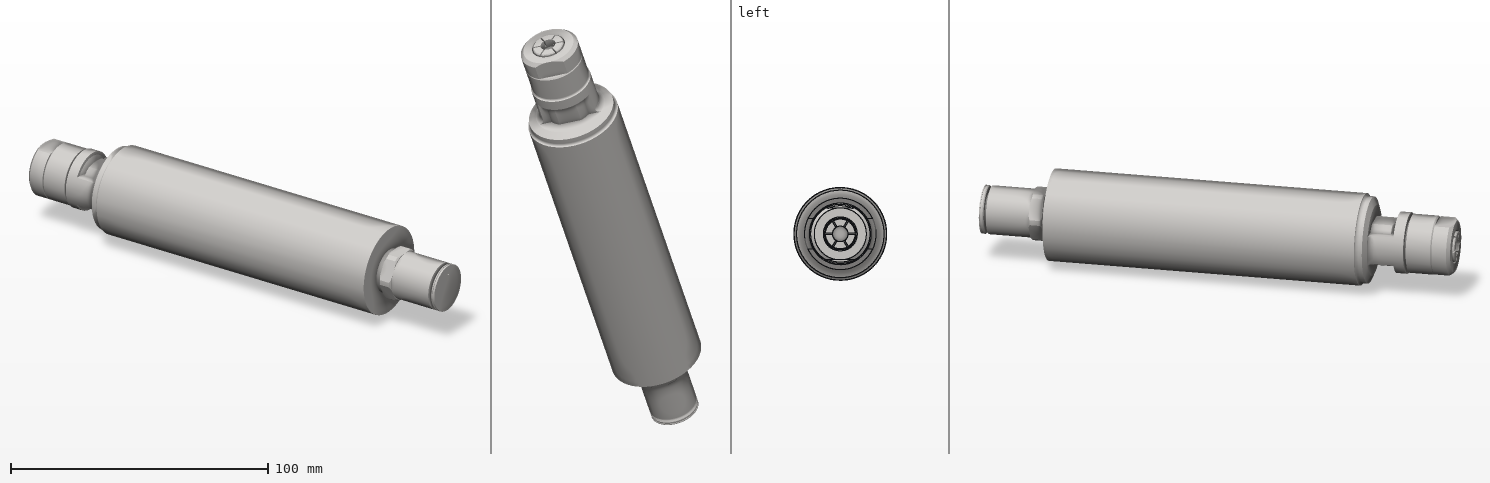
import cadquery as cq
import math

length = 189.0

collet_d = 12.3
collet_chamfer = 0.4
collet_hole_d = 6.0
collet_hole_depth = 7.5
collet_slot_count = 6
collet_slot_width = 0.5
collet_slot_depth = 2.8
nut_bore_d = 13.2
nut_bore_depth = 2.8
nut_face_x = 0.8
nut_face_d = 20.2
nut_chamfer_end_x = 2.0
nut_end_x = 8.0
nut_d = 23.0
nut_flats = 20.0

sleeve_chamfer = 0.5
sleeve_end_x = 18.1
groove_d = 19.0
collar_x = 19.0

collar_d = 24.0
arms_x = 23.2
arm_height = 11.9
arm_fillet = 1.9
arm_root_d = collar_d + 2 * arm_fillet

shoulder_d = 21.2
vee_x = 24.4
vee_d = 16.6
hub_x = 25.0
hub_d = 19.0
hub_flats = 17.0

cap_x = 33.0
cap_shoulder_x = 34.4
cap_d = 34.0
body_fillet_x = 36.3
body_d = 36.0
body_end_x = 161.1

neck_d = 18.0
hex_x = 163.2
hex_end_x = 168.5
hex_flats = 19.0
hex_round_d = 21.0
hex_chamfer = 0.5
barrel_d = 19.0
barrel_end_x = 185.5
ring_neck_d = 13.6
ring_x = 186.7
ring_chamfer = 0.4
ring_d = 19.0
ring_groove_d = 18.5
ring_groove_x = 187.5
ring_groove_end_x = 188.0
ring_end_x = 188.4
nub_d = 0.4
nub_offset_z = 6.0


def cylinder(diameter, start_x, end_x):
    """Solid round bar on the X axis."""
    return cq.Workplane("YZ", origin=(start_x, 0, 0)).circle(diameter / 2).extrude(end_x - start_x)


def flat_slab(thickness, start_x, end_x):
    """Slab centred on the axis, wider than the part in Y and limited in Z."""
    span = end_x - start_x
    return cq.Workplane("XY").box(span, 2 * body_d, thickness).translate((start_x + span / 2, 0, 0))


def revolve_profile(points):
    """Turn an (x, radius) outline, closed along the axis, about X."""
    outline = [(points[0][0], 0)] + points + [(points[-1][0], 0)]
    return cq.Workplane("XY").polyline(outline).close().revolve(360, (0, 0, 0), (1, 0, 0))


def make_nut():
    nut = revolve_profile([
        (nut_face_x, nut_face_d / 2),
        (nut_chamfer_end_x, nut_d / 2),
        (nut_end_x, nut_d / 2),
    ])
    nut = nut.intersect(flat_slab(nut_flats, nut_face_x, nut_end_x))
    nut = nut.cut(cylinder(nut_bore_d, nut_face_x, nut_face_x + nut_bore_depth))
    return nut.union(make_collet())


def make_collet():
    collet = cylinder(collet_d, 0, nut_end_x).faces("<X").chamfer(collet_chamfer)
    collet = collet.cut(cylinder(collet_hole_d, 0, collet_hole_depth))
    slot = (
        cq.Workplane("XY")
        .box(collet_slot_depth, collet_d, collet_slot_width)
        .translate((collet_slot_depth / 2, collet_d / 2, 0))
    )
    for i in range(collet_slot_count):
        collet = collet.cut(slot.rotate((0, 0, 0), (1, 0, 0), i * 360 / collet_slot_count))
    return collet


def make_sleeve():
    sleeve = cylinder(nut_d, nut_end_x, sleeve_end_x).faces("<X").chamfer(sleeve_chamfer)
    return sleeve.union(cylinder(groove_d, sleeve_end_x, collar_x))


def make_collar():
    """Collar whose skirt flares into the cap, milled away above and below to leave two arms."""
    radius = collar_d / 2
    flare_x = cap_x - arm_fillet
    diagonal = arm_fillet * math.sqrt(0.5)
    flare_mid = (flare_x + diagonal, radius + arm_fillet - diagonal)
    collar = (
        cq.Workplane("XY")
        .moveTo(collar_x, 0)
        .lineTo(collar_x, radius)
        .lineTo(flare_x, radius)
        .threePointArc(flare_mid, (cap_x, arm_root_d / 2))
        .lineTo(cap_x, 0)
        .close()
        .revolve(360, (0, 0, 0), (1, 0, 0))
    )
    milled_length = cap_x - arms_x
    milling = cq.Workplane("XY").box(milled_length, body_d, body_d)
    offset = (arm_height + body_d) / 2
    for side in (-1, 1):
        collar = collar.cut(milling.translate((arms_x + milled_length / 2, 0, side * offset)))
    return collar


def make_hub():
    shoulder = revolve_profile([(arms_x, shoulder_d / 2), (vee_x, vee_d / 2)])
    hub = revolve_profile([(vee_x, vee_d / 2), (hub_x, hub_d / 2), (cap_x, hub_d / 2)])
    return shoulder.union(hub.intersect(flat_slab(hub_flats, vee_x, cap_x)))


def make_housing():
    fillet = (body_d - cap_d) / 2
    fillet_end_x = body_fillet_x + fillet
    diagonal = fillet * math.sqrt(0.5)
    fillet_mid = (body_fillet_x + diagonal, body_d / 2 - diagonal)
    return (
        cq.Workplane("XY")
        .moveTo(cap_x, 0)
        .lineTo(cap_x, arm_root_d / 2)
        .lineTo(cap_shoulder_x, cap_d / 2)
        .lineTo(body_fillet_x, cap_d / 2)
        .threePointArc(fillet_mid, (fillet_end_x, body_d / 2))
        .lineTo(body_end_x, body_d / 2)
        .lineTo(body_end_x, 0)
        .close()
        .revolve(360, (0, 0, 0), (1, 0, 0))
    )


def make_hex():
    """Hexagon with flats at top and bottom and its corners turned round."""
    across_corners = hex_flats / math.cos(math.pi / 6)
    prism = cq.Workplane("YZ", origin=(hex_x, 0, 0)).polygon(6, across_corners).extrude(hex_end_x - hex_x)
    return prism.intersect(cylinder(hex_round_d, hex_x, hex_end_x).edges().chamfer(hex_chamfer))


def make_connector():
    connector = cylinder(neck_d, body_end_x, hex_x).union(make_hex())
    connector = connector.union(cylinder(barrel_d, hex_end_x, barrel_end_x))
    connector = connector.union(cylinder(ring_neck_d, barrel_end_x, ring_x))
    ring = revolve_profile([
        (ring_x, ring_d / 2 - ring_chamfer),
        (ring_x + ring_chamfer, ring_d / 2),
        (ring_groove_x, ring_d / 2),
        (ring_groove_x, ring_groove_d / 2),
        (ring_groove_end_x, ring_groove_d / 2),
        (ring_groove_end_x, ring_d / 2),
        (ring_end_x, ring_d / 2),
    ])
    nub = cylinder(nub_d, ring_end_x, length).translate((0, 0, nub_offset_z))
    return connector.union(ring).union(nub)


result = (
    make_nut()
    .union(make_sleeve())
    .union(make_collar())
    .union(make_hub())
    .union(make_housing())
    .union(make_connector())
)